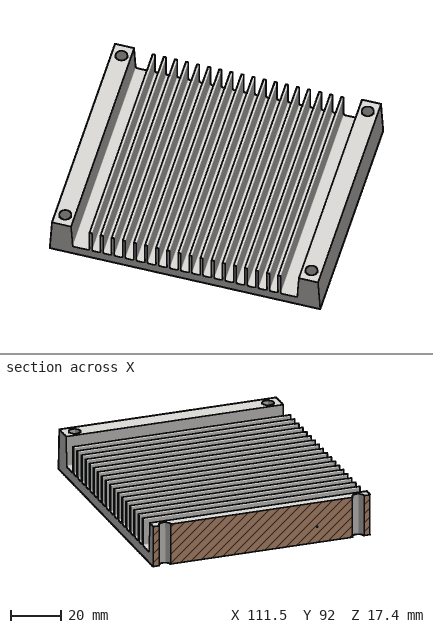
import cadquery as cq
import math

width = 111.5
depth = 92.0
height = 17.4

base_thickness = 4.6
rail_top_width = 7.9
rail_draft_angle = 3.0
root_radius = 0.8

fin_count = 18
fin_pitch = 4.6
fin_thickness = 1.1
fin_top = 16.2

hole_diameter = 4.8
hole_inset = 5.0

fin_span = fin_pitch * (fin_count - 1)
rail_slope = math.tan(math.radians(rail_draft_angle))


def extrude_section(section):
    """Extrude an XZ cross-section over the depth, centred on Y."""
    return section.extrude(depth / 2, both=True)


def make_body():
    """Base plate with a tapered rail along each side."""
    half_width = width / 2
    rail_outer_top = half_width - height * rail_slope
    rail_inner_top = rail_outer_top - rail_top_width
    rail_inner_root = rail_inner_top - (height - base_thickness) * rail_slope
    section = (
        cq.Workplane("XZ")
        .moveTo(-half_width, 0)
        .lineTo(half_width, 0)
        .lineTo(rail_outer_top, height)
        .lineTo(rail_inner_top, height)
        .lineTo(rail_inner_root, base_thickness)
        .lineTo(-rail_inner_root, base_thickness)
        .lineTo(-rail_inner_top, height)
        .lineTo(-rail_outer_top, height)
        .close()
    )
    root_edges = cq.selectors.BoxSelector(
        (-rail_inner_root - root_radius, -depth, base_thickness - root_radius),
        (rail_inner_root + root_radius, depth, base_thickness + root_radius),
    )
    return extrude_section(section).edges("|Y").edges(root_edges).fillet(root_radius)


def make_fin(x_centre):
    """Fin with a full round tip and concave fillets at its root."""
    half = fin_thickness / 2
    tip_start = fin_top - half
    foot = half + root_radius
    root_top = base_thickness + root_radius
    foot_bottom = base_thickness / 2
    arc_offset = root_radius * (1 - math.sqrt(0.5))
    section = (
        cq.Workplane("XZ", origin=(x_centre, 0, 0))
        .moveTo(-foot, foot_bottom)
        .lineTo(foot, foot_bottom)
        .lineTo(foot, base_thickness)
        .threePointArc((half + arc_offset, base_thickness + arc_offset), (half, root_top))
        .lineTo(half, tip_start)
        .threePointArc((0, fin_top), (-half, tip_start))
        .lineTo(-half, root_top)
        .threePointArc((-half - arc_offset, base_thickness + arc_offset), (-foot, base_thickness))
        .close()
    )
    return extrude_section(section)


def make_mounting_holes():
    """Four through holes, one near each end of both rails."""
    return (
        cq.Workplane("XY")
        .rect(width - 2 * hole_inset, depth - 2 * hole_inset, forConstruction=True)
        .vertices()
        .circle(hole_diameter / 2)
        .extrude(height)
    )


result = make_body()
for index in range(fin_count):
    result = result.union(make_fin(index * fin_pitch - fin_span / 2))
result = result.cut(make_mounting_holes())